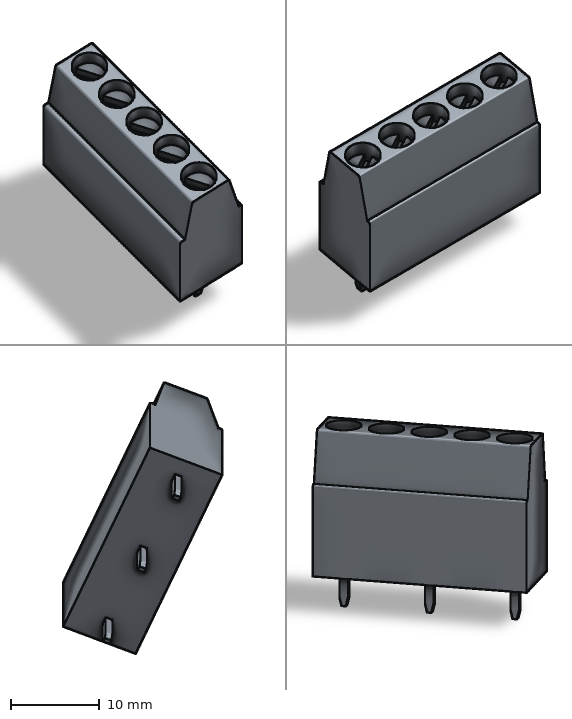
import cadquery as cq

length = 25.0
depth = 8.9
housing_height = 16.8
shoulder_height = 10.8
front_shoulder_y = -3.75
back_shoulder_y = 3.98
front_top_y = -2.7
back_top_y = 2.6
edge_radius = 0.3

pole_count = 5
pole_pitch = length / pole_count
well_diameter = 4.0
well_y = 0.2
head_diameter = 3.8
head_recess = 1.75
slot_width = 0.9
slot_depth = 1.1
slot_angle = 30.0
well_depth = head_recess + slot_depth

pin_width = 1.0
pin_thickness = 0.8
pin_length = 4.5
pin_tip_width = 0.5
pin_tip_length = 1.05
pin_y = -0.1

pole_positions = [(i - (pole_count - 1) / 2) * pole_pitch for i in range(pole_count)]


def make_housing():
    """Stepped prism along X with rounded shoulders and top edges."""
    outline = [
        (-depth / 2, 0),
        (-depth / 2, shoulder_height),
        (front_shoulder_y, shoulder_height),
        (front_top_y, housing_height),
        (back_top_y, housing_height),
        (back_shoulder_y, shoulder_height),
        (depth / 2, shoulder_height),
        (depth / 2, 0),
    ]
    housing = cq.Workplane("YZ").polyline(outline).close().extrude(length / 2, both=True)
    housing = housing.faces(">Z").edges("|X").fillet(edge_radius)
    for side in ("<Y", ">Y"):
        housing = housing.faces(side).edges(">Z").fillet(edge_radius)
    return housing


def make_well(x):
    """Round well that opens at the top face."""
    well = cq.Workplane("XY").circle(well_diameter / 2).extrude(well_depth)
    return well.translate((x, well_y, housing_height - well_depth))


def make_screw_head(x):
    """Slotted screw head standing on the floor of its well, with a small gap all round."""
    head = cq.Workplane("XY").circle(head_diameter / 2).extrude(slot_depth)
    slot = cq.Workplane("XY").rect(well_diameter, slot_width).extrude(slot_depth)
    head = head.cut(slot.rotate((0, 0, 0), (0, 0, 1), slot_angle))
    return head.translate((x, well_y, housing_height - well_depth))


def make_pin(x):
    """Flat pin below the housing, tapered in width at its tip."""
    outline = [
        (-pin_width / 2, 0),
        (pin_width / 2, 0),
        (pin_width / 2, pin_tip_length - pin_length),
        (pin_tip_width / 2, -pin_length),
        (-pin_tip_width / 2, -pin_length),
        (-pin_width / 2, pin_tip_length - pin_length),
    ]
    pin = cq.Workplane("XZ").polyline(outline).close().extrude(pin_thickness / 2, both=True)
    return pin.translate((x, pin_y, 0))


result = make_housing()
for pole_x in pole_positions:
    result = result.cut(make_well(pole_x)).union(make_screw_head(pole_x))
for pin_x in pole_positions[::2]:
    result = result.union(make_pin(pin_x))